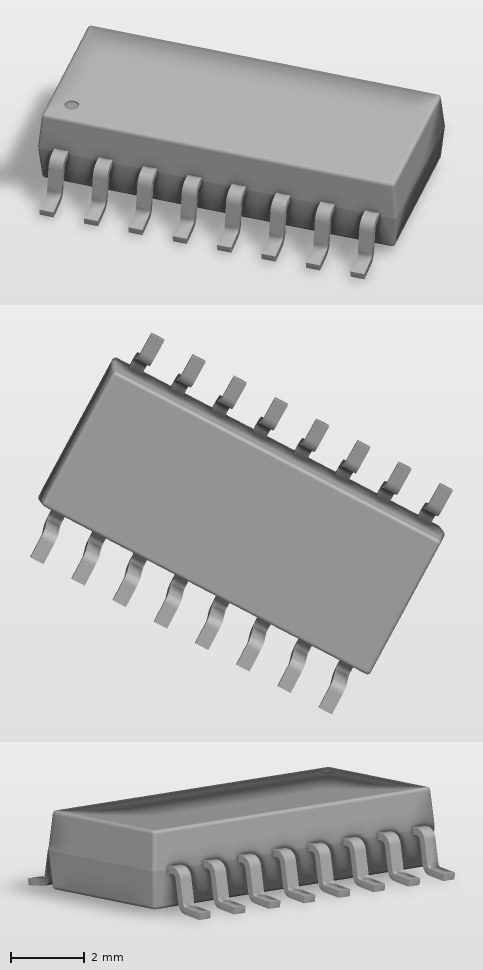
import math

import cadquery as cq

BODY_LENGTH = 10.28
BODY_WIDTH = 4.4
BODY_TOP = 2.32
BODY_BOTTOM = 0.13
PARTING_Z = 1.22
DRAFT_ANGLE = 5.0
EDGE_RADIUS = 0.1

MARK_DIAMETER = 0.4
MARK_INSET = 0.75
MARK_DEPTH = 0.05

LEADS_PER_SIDE = 8
LEAD_ROW_LENGTH = 8.89
LEAD_PITCH = LEAD_ROW_LENGTH / (LEADS_PER_SIDE - 1)
LEAD_WIDTH = 0.4
LEAD_THICKNESS = 0.2
LEAD_SPAN = 7.05
LEAD_EMBED = 0.21
SHOULDER_END = 2.38
SHOULDER_BEND_RADIUS = 0.25
FOOT_BEND_RADIUS = 0.21
LEG_SLOPE = math.radians(80)
FOOT_SLOPE = math.radians(7)


def body_half(height):
    """Half of the body, narrowing away from the parting line by the signed height."""
    outer_face = ">Z" if height > 0 else "<Z"
    half = (
        cq.Workplane("XY")
        .workplane(offset=PARTING_Z)
        .rect(BODY_LENGTH, BODY_WIDTH)
        .extrude(height, taper=DRAFT_ANGLE)
    )
    corner_edges = half.edges("not #Z").vals()
    rim_edges = half.faces(outer_face).edges().vals()
    return half.newObject(corner_edges + rim_edges).fillet(EDGE_RADIUS)


def offset_point(point, distance, angle):
    """Move a (y, z) point by a distance in a direction measured from +Y."""
    return (point[0] + distance * math.cos(angle), point[1] + distance * math.sin(angle))


def lead_path():
    """Centreline of a lead on the +Y side: shoulder, bend, leg, bend, foot."""
    upward = math.pi / 2
    root = (BODY_WIDTH / 2 - LEAD_EMBED, PARTING_Z)
    shoulder = (SHOULDER_END, PARTING_Z)

    upper_centre = (SHOULDER_END, PARTING_Z - SHOULDER_BEND_RADIUS)
    upper_mid = offset_point(upper_centre, SHOULDER_BEND_RADIUS, upward - LEG_SLOPE / 2)
    leg_top = offset_point(upper_centre, SHOULDER_BEND_RADIUS, upward - LEG_SLOPE)

    tip = (
        LEAD_SPAN / 2 - LEAD_THICKNESS / 2 * math.sin(FOOT_SLOPE),
        LEAD_THICKNESS / 2 * math.cos(FOOT_SLOPE),
    )

    across = tip[0] - leg_top[0]
    drop = leg_top[1] - tip[1]
    leg_run = (drop * math.cos(FOOT_SLOPE) - across * math.sin(FOOT_SLOPE)) / math.sin(LEG_SLOPE - FOOT_SLOPE)
    knee = offset_point(leg_top, leg_run, -LEG_SLOPE)

    setback = FOOT_BEND_RADIUS * math.tan((LEG_SLOPE - FOOT_SLOPE) / 2)
    leg_bottom = offset_point(knee, -setback, -LEG_SLOPE)
    foot_start = offset_point(knee, setback, -FOOT_SLOPE)
    lower_centre = offset_point(foot_start, FOOT_BEND_RADIUS, upward - FOOT_SLOPE)
    lower_mid = offset_point(lower_centre, FOOT_BEND_RADIUS, -upward - (LEG_SLOPE + FOOT_SLOPE) / 2)

    return (
        cq.Workplane("YZ")
        .moveTo(*root)
        .lineTo(*shoulder)
        .threePointArc(upper_mid, leg_top)
        .lineTo(*leg_bottom)
        .threePointArc(lower_mid, foot_start)
        .lineTo(*tip)
    )


def make_lead():
    """One lead on the +Y side, centred on X = 0."""
    return (
        cq.Workplane("XZ", origin=(0, BODY_WIDTH / 2 - LEAD_EMBED, PARTING_Z))
        .rect(LEAD_WIDTH, LEAD_THICKNESS)
        .sweep(lead_path())
    )


def pin_one_mark():
    """Cutter for the shallow round mark near the -X, -Y corner of the top."""
    return (
        cq.Workplane("XY")
        .workplane(offset=BODY_TOP - MARK_DEPTH)
        .center(MARK_INSET - BODY_LENGTH / 2, MARK_INSET - BODY_WIDTH / 2)
        .circle(MARK_DIAMETER / 2)
        .extrude(2 * MARK_DEPTH)
    )


body = body_half(BODY_TOP - PARTING_Z).union(body_half(BODY_BOTTOM - PARTING_Z))
result = body.cut(pin_one_mark())

back_lead = make_lead()
front_lead = back_lead.mirror("XZ")
for index in range(LEADS_PER_SIDE):
    x = index * LEAD_PITCH - LEAD_ROW_LENGTH / 2
    result = result.union(back_lead.translate((x, 0, 0)))
    result = result.union(front_lead.translate((x, 0, 0)))